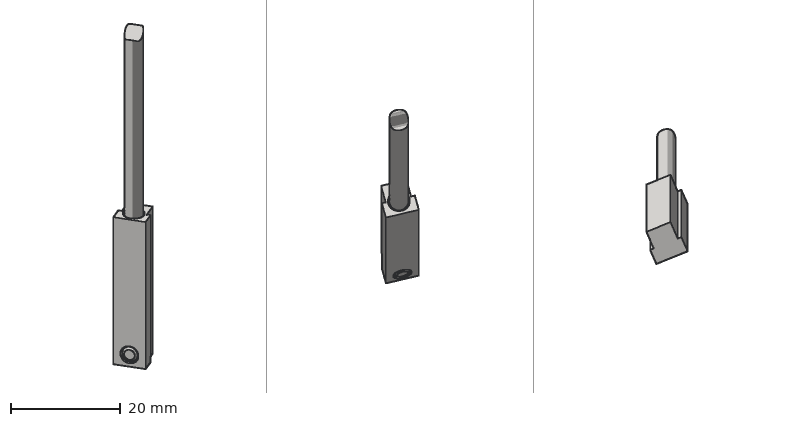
import cadquery as cq
import math

total_height = 68.2
body_height = 30.15
front_width = 6.2
back_width = 4.8
body_depth = 6.35
front_depth = 2.9

rod_diameter = 3.5
rod_y = 2.6
rod_entry_chamfer = 0.3

tip_drop = 2.0
crest_offset = 1.15
wave_steps = 4

screw_z = 2.45
screw_hole_diameter = 3.0
screw_entry_diameter = 3.5
screw_face_diameter = 2.05


def make_body():
    half_front = front_width / 2
    half_back = back_width / 2
    outline = [
        (-half_front, 0),
        (half_front, 0),
        (half_front, front_depth),
        (half_back, front_depth),
        (half_back, body_depth),
        (-half_back, body_depth),
        (-half_back, front_depth),
        (-half_front, front_depth),
    ]
    return cq.Workplane("XY").polyline(outline).close().extrude(body_height)


def make_rod_entry():
    """Countersink around the foot of the rod."""
    entry_radius = rod_diameter / 2 + rod_entry_chamfer
    cone = cq.Solid.makeCone(
        rod_diameter / 2,
        entry_radius,
        rod_entry_chamfer,
        pnt=cq.Vector(0, rod_y, body_height - rod_entry_chamfer),
    )
    return cq.Workplane(cone)


def make_rod():
    return (
        cq.Workplane("XY")
        .center(0, rod_y)
        .circle(rod_diameter / 2)
        .extrude(total_height)
    )


def make_tip_cutter():
    """Space above a cosine wave running along Y, crest at the back."""
    half_wave = 2 * crest_offset
    mean_z = total_height - tip_drop / 2
    wave = []
    for step in range(-wave_steps, 2 * wave_steps + 1):
        phase = step / wave_steps
        y = rod_y + crest_offset - half_wave * phase
        z = mean_z + tip_drop / 2 * math.cos(math.pi * phase)
        wave.append((y, z))
    clear_z = total_height + tip_drop
    return (
        cq.Workplane("YZ", origin=(-rod_diameter, 0, 0))
        .moveTo(wave[0][0], clear_z)
        .lineTo(*wave[0])
        .spline(wave[1:], includeCurrent=True)
        .lineTo(wave[-1][0], clear_z)
        .close()
        .extrude(2 * rod_diameter)
    )


def make_screw_groove():
    """V-shaped ring between the countersunk hole edge and the chamfered screw."""
    entry_radius = screw_entry_diameter / 2
    hole_radius = screw_hole_diameter / 2
    face_radius = screw_face_diameter / 2
    screw_chamfer = hole_radius - face_radius
    entry_chamfer = entry_radius - hole_radius
    return (
        cq.Workplane("XY")
        .moveTo(face_radius, 0)
        .lineTo(hole_radius, screw_chamfer)
        .lineTo(hole_radius, entry_chamfer)
        .lineTo(entry_radius, 0)
        .close()
        .revolve(360, (0, 0, 0), (0, 1, 0))
        .translate((0, 0, screw_z))
    )


body = make_body().cut(make_rod_entry()).cut(make_screw_groove())
rod = make_rod().cut(make_tip_cutter())
result = body.union(rod)